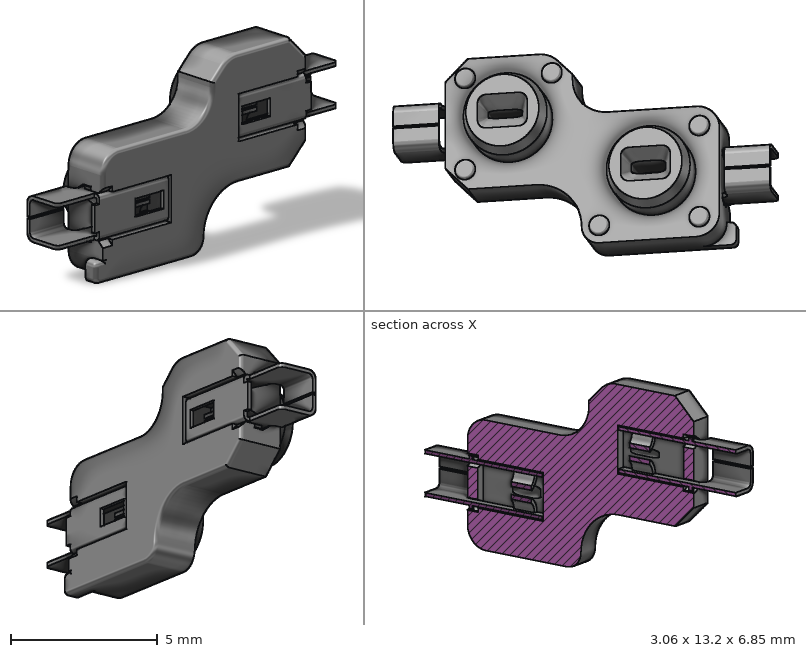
import cadquery as cq
import math


socket_y = 2.5
socket_z = 1.1
tower_tip_x = -1.53
tower_shoulder_x = -1.07
front_x = -0.18
back_x = 1.53
tiny = 0.07

end_y = 4.79
housing_height = 6.85
top_z = housing_height / 2
half_height = top_z - socket_z
step_z = half_height - socket_z
corner_chamfer = 0.79
corner_radius = 0.8
shoulder_radius = 0.92
neck_y = 0.34
upper_hollow_radius = 1.22
lower_hollow_radius = 1.59
lower_hollow_y = 1.62
lower_corner_z = -step_z - lower_hollow_radius
lower_corner_radius = top_z + lower_corner_z
lower_corner_y = lower_hollow_y - lower_hollow_radius - lower_corner_radius
back_fillet = 0.16

tower_radius = 1.46
tower_tip_radius = 1.28
funnel_width = 1.74
funnel_height = 1.2
funnel_corner = 0.3
throat_width = 1.2
upper_throat_height = 0.29
lower_throat_height = 0.45
throat_corner_y = 0.34
throat_flat_share = 0.45
throat_x = -1.05
bump_radius = 0.35
bump_height = 0.09
bump_fillet = 0.085
bump_inset = 0.7
bump_inner_y = 1.07
hook_front_x = 1.01
hook_end_y = -5.12
hook_height = corner_radius
hook_radius = 0.2

sheet = 0.15
terminal_half = 0.83
inner_half = terminal_half - sheet
base_outer_x = 1.42
base_inner_x = base_outer_x - sheet
base_bend = 0.18
side_front_x = 0.33
terminal_inner_y = -0.9
face_y = end_y - socket_y
base_overhang = 0.05
base_end_y = face_y + base_overhang
tab_half = 0.5
tab_end_y = 2.56
crimp_start_y = 2.49
overall_length = 13.15
crimp_end_y = overall_length / 2 - socket_y
crimp_front_x = -0.34
crimp_back_x = 1.17
crimp_bend = 0.32
crimp_corner = 0.2
seam = 0.08
contact_half_width = 0.43
contact_gap = 0.08
window_half_width = 0.66
window_half_height = 0.33

clearance = 0.03
cavity_half = terminal_half + clearance
cavity_inner_y = terminal_inner_y - clearance
end_wall = 0.45
wall_inner_y = face_y - end_wall
lead_in_x = 1.32
tongue_tip_x = 1.21
tongue_tip_half = 0.34
notch_start_x = 0.34
notch_slope_end_x = 0.55
notch_end_x = 0.92
notch_depth = 0.15
barb_end_x = 0.87
barb_height = 0.12
barb_set_back = 0.07


def box(x0, x1, y0, y1, z0, z1):
    return cq.Workplane().box(x1 - x0, y1 - y0, z1 - z0, centered=False).translate((x0, y0, z0))


def xz_plane(y):
    """Plane of X-Z sketches at the given Y; a negative extrusion runs towards +Y."""
    return cq.Workplane("XZ", origin=(0, y, 0))


def yz_plane(x):
    return cq.Workplane("YZ", origin=(x, 0, 0))


def mirrored_pair(half):
    """The shape together with its mirror image across its own Z = 0 plane."""
    return half.union(half.mirror("XY"))


def place_at_socket(shape, turned):
    """Moves a shape drawn about a socket axis to the upper socket, or by a half turn to the lower one."""
    placed = shape.translate((0, socket_y, socket_z))
    if turned:
        placed = placed.rotate((0, 0, 0), (1, 0, 0), 180)
    return placed


def arc_middle(center_y, center_z, radius, degrees):
    angle = math.radians(degrees)
    return center_y + radius * math.cos(angle), center_z + radius * math.sin(angle)


def housing_block():
    half_root = math.sqrt(0.5)
    bevel_end_z = top_z - corner_chamfer
    shoulder_drop = shoulder_radius * (1 - half_root)
    shoulder_end_y = neck_y + corner_chamfer - shoulder_drop
    shoulder_y = shoulder_end_y + shoulder_radius * half_root
    shoulder_z = top_z - shoulder_radius
    upper_hollow_y = neck_y - upper_hollow_radius
    upper_hollow_z = step_z + upper_hollow_radius
    corner_y = -end_y + corner_radius
    block = (
        yz_plane(front_x)
        .moveTo(end_y - corner_chamfer, top_z)
        .lineTo(shoulder_y, top_z)
        .threePointArc(
            arc_middle(shoulder_y, shoulder_z, shoulder_radius, 112.5),
            (shoulder_end_y, top_z - shoulder_drop),
        )
        .lineTo(neck_y, bevel_end_z)
        .lineTo(neck_y, upper_hollow_z)
        .threePointArc(
            arc_middle(upper_hollow_y, upper_hollow_z, upper_hollow_radius, -45),
            (upper_hollow_y, step_z),
        )
        .lineTo(corner_y, step_z)
        .threePointArc(
            arc_middle(corner_y, step_z - corner_radius, corner_radius, 135),
            (-end_y, step_z - corner_radius),
        )
        .lineTo(-end_y, -top_z + corner_radius)
        .threePointArc(
            arc_middle(corner_y, -top_z + corner_radius, corner_radius, 225),
            (corner_y, -top_z),
        )
        .lineTo(lower_corner_y, -top_z)
        .threePointArc(
            arc_middle(lower_corner_y, lower_corner_z, lower_corner_radius, -45),
            (lower_hollow_y - lower_hollow_radius, lower_corner_z),
        )
        .threePointArc(
            arc_middle(lower_hollow_y, lower_corner_z, lower_hollow_radius, 135),
            (lower_hollow_y, -step_z),
        )
        .lineTo(end_y - corner_chamfer, -step_z)
        .lineTo(end_y, -step_z + corner_chamfer)
        .lineTo(end_y, top_z - corner_chamfer)
        .close()
        .extrude(back_x - front_x)
    )
    hook = box(hook_front_x, back_x, hook_end_y, corner_y, -top_z, -top_z + hook_height)
    hook = hook.edges("|X and <Y").fillet(hook_radius)
    sharp_edge = box(
        back_x - 2 * back_fillet, back_x,
        -end_y, -end_y + 2 * back_fillet,
        -top_z + hook_height, -socket_z,
    )
    return block.union(hook).faces(">X").edges().fillet(back_fillet).union(sharp_edge)


def tower():
    profile = [
        (tower_tip_x, 0),
        (tower_tip_x, tower_tip_radius),
        (tower_shoulder_x, tower_radius),
        (front_x, tower_radius),
        (front_x, 0),
    ]
    return cq.Workplane("XZ").polyline(profile).close().revolve(360, (0, 0, 0), (1, 0, 0))


def rounded_outline(plane, width, height, corner_y, corner_z):
    """Rectangle about the plane's centre whose corners are quarter ellipses."""
    half_width = width / 2
    flat_half_width = half_width - corner_y
    flat_half_height = height / 2 - corner_z
    return (
        plane.moveTo(half_width, -flat_half_height)
        .lineTo(half_width, flat_half_height)
        .ellipseArc(corner_y, corner_z, 0, 90)
        .lineTo(-flat_half_width, height / 2)
        .ellipseArc(corner_y, corner_z, 90, 180)
        .lineTo(-half_width, -flat_half_height)
        .ellipseArc(corner_y, corner_z, 180, 270)
        .lineTo(flat_half_width, -height / 2)
        .ellipseArc(corner_y, corner_z, 270, 360)
        .close()
    )


def plug_opening(throat_height):
    """Funnel that narrows to a throat, then the straight throat into the terminal cavity."""
    throat_corner_z = throat_height / 2 * (1 - throat_flat_share)
    mouth = rounded_outline(
        yz_plane(tower_tip_x), funnel_width, funnel_height, funnel_corner, funnel_corner
    )
    throat = rounded_outline(
        yz_plane(throat_x), throat_width, throat_height, throat_corner_y, throat_corner_z
    )
    funnel = cq.Solid.makeLoft([mouth.val(), throat.val()], True)
    return throat.extrude(back_x - throat_x).union(cq.Workplane(funnel))


def terminal_cavity():
    """Recess open to the back, reached through a U-shaped slot around a tongue in the end wall."""
    length = face_y - wall_inner_y + tiny
    cavity = box(side_front_x, back_x + tiny, cavity_inner_y, face_y + tiny, -cavity_half, cavity_half)
    tongue = (
        xz_plane(wall_inner_y)
        .polyline([
            (side_front_x, -inner_half),
            (tongue_tip_x, -tongue_tip_half),
            (tongue_tip_x, tongue_tip_half),
            (side_front_x, inner_half),
        ])
        .close()
        .extrude(-length)
    )
    lead_in_half = cavity_half + back_x - lead_in_x
    lead_in = (
        xz_plane(wall_inner_y)
        .polyline([
            (lead_in_x, -cavity_half),
            (back_x, -lead_in_half),
            (back_x, lead_in_half),
            (lead_in_x, cavity_half),
        ])
        .close()
        .extrude(-length)
    )
    barb_notch = (
        xz_plane(wall_inner_y)
        .polyline([
            (notch_start_x, cavity_half),
            (notch_slope_end_x, cavity_half + notch_depth),
            (notch_end_x, cavity_half + notch_depth),
            (notch_end_x, cavity_half),
        ])
        .close()
        .extrude(-length)
    )
    return cavity.cut(tongue).union(lead_in).union(mirrored_pair(barb_notch))


def standoff_bumps():
    bump_end_y = end_y - bump_inset
    bump_top_z = top_z - bump_inset
    bump_step_z = step_z - bump_inset
    centers = [
        (bump_end_y, bump_top_z),
        (bump_inner_y, bump_top_z),
        (bump_end_y, -bump_step_z),
        (-bump_end_y, bump_step_z),
        (-bump_end_y, -bump_top_z),
        (lower_corner_y, lower_corner_z),
    ]
    bumps = yz_plane(front_x).pushPoints(centers).circle(bump_radius).extrude(-bump_height)
    return bumps.faces("<X").edges().fillet(bump_fillet)


def make_housing():
    body = housing_block().union(standoff_bumps())
    for turned, throat_height in ((False, upper_throat_height), (True, lower_throat_height)):
        body = body.union(place_at_socket(tower(), turned))
        body = body.cut(place_at_socket(plug_opening(throat_height), turned))
        body = body.cut(place_at_socket(terminal_cavity(), turned))
    return body


def contact_channel():
    """Base and side walls inside the housing, with a window in the base for the plug."""
    channel = box(side_front_x, base_outer_x, terminal_inner_y, base_end_y, -terminal_half, terminal_half)
    channel = channel.edges("|Y and >X").fillet(base_bend)
    hollow = box(side_front_x, base_inner_x, terminal_inner_y, base_end_y, -inner_half, inner_half)
    hollow = hollow.edges("|Y and >X").fillet(base_bend - sheet)
    window = box(
        base_inner_x - tiny, base_outer_x + tiny,
        -window_half_width, window_half_width,
        -window_half_height, window_half_height,
    )
    tab = box(base_inner_x, base_outer_x, 0, tab_end_y, -tab_half, tab_half)
    return channel.cut(hollow).union(tab).cut(window)


def contact_arm():
    """Quarter-round spring arm from the front edge of a side wall to the plug's mid-plane."""
    outer_radius = inner_half - contact_gap / 2
    inner_radius = outer_radius - sheet
    center_x = side_front_x + outer_radius
    ring = (
        xz_plane(-contact_half_width)
        .center(center_x, inner_half)
        .circle(outer_radius)
        .circle(inner_radius)
        .extrude(-2 * contact_half_width)
    )
    quarter = box(side_front_x, center_x, -contact_half_width, contact_half_width, 0, inner_half)
    return ring.intersect(quarter)


def side_neck():
    """Flat link between side wall and crimp, flaring into the crimp with a concave round."""
    flare_y = crimp_start_y - crimp_corner
    flare_x = side_front_x - crimp_corner
    return (
        cq.Workplane("XY", origin=(0, 0, inner_half))
        .moveTo(side_front_x, flare_y)
        .lineTo(crimp_back_x, flare_y)
        .lineTo(crimp_back_x, crimp_start_y)
        .lineTo(flare_x, crimp_start_y)
        .threePointArc(arc_middle(flare_x, flare_y, crimp_corner, 45), (side_front_x, flare_y))
        .close()
        .extrude(sheet)
    )


def barb():
    wall_middle_y = (wall_inner_y + face_y) / 2
    return box(
        notch_slope_end_x, barb_end_x,
        wall_middle_y, face_y - barb_set_back,
        terminal_half, terminal_half + barb_height,
    )


def crimp():
    """Channel open at the back whose two wings fold over the front and leave a narrow seam."""
    shell = box(crimp_front_x, crimp_back_x, crimp_start_y, crimp_end_y, -terminal_half, terminal_half)
    shell = shell.edges("|Y and <X").fillet(crimp_bend)
    hollow = box(crimp_front_x + sheet, crimp_back_x, crimp_start_y, crimp_end_y, -inner_half, inner_half)
    hollow = hollow.edges("|Y and <X").fillet(crimp_bend - sheet)
    seam_cut = box(crimp_front_x, side_front_x, crimp_start_y, crimp_end_y, -seam / 2, seam / 2)
    return shell.cut(hollow).cut(seam_cut).edges("|Z and >X and >Y").fillet(crimp_corner)


def make_terminal():
    side_parts = contact_arm().union(side_neck()).union(barb())
    return contact_channel().union(crimp()).union(mirrored_pair(side_parts))


housing = make_housing()
terminals = [place_at_socket(make_terminal(), turned) for turned in (False, True)]

result = cq.Compound.makeCompound([housing.val(), *(terminal.val() for terminal in terminals)])